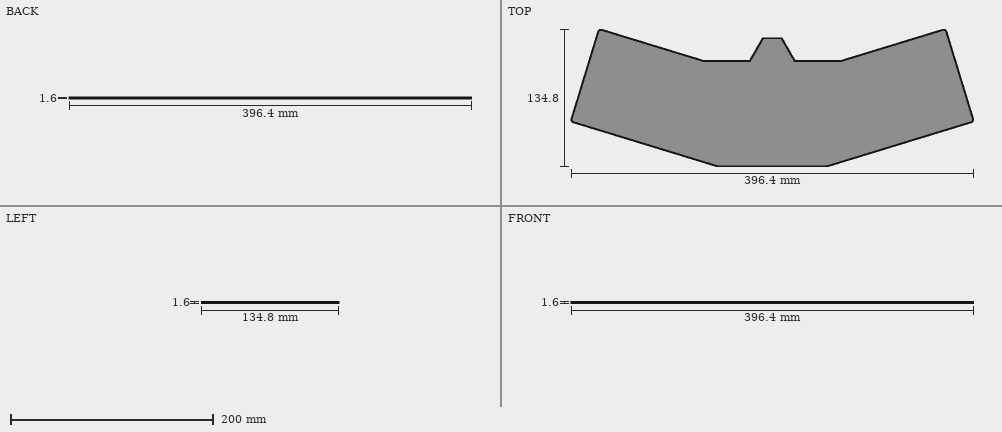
import cadquery as cq
import math

span = 396.37
depth = 134.81
thickness = 1.6

lower_edge_half = 54.4
upper_edge_y = 104.0

wing_angle = math.radians(17)
corner_radius = 3.0

tab_base_half = 22.2
tab_height = 22.5
tab_flank_angle = math.radians(60)
tab_top_half = tab_base_half - tab_height / math.tan(tab_flank_angle)

rise = math.sin(wing_angle)
run = math.cos(wing_angle)

lower_round_x = span / 2 - corner_radius
lower_edge_to_round = (lower_round_x - lower_edge_half + corner_radius * rise) / run
lower_round_y = lower_edge_to_round * rise + corner_radius * run
upper_round_y = depth - corner_radius
wing_length = lower_edge_to_round + corner_radius
wing_width = (upper_round_y - lower_round_y) / run + 2 * corner_radius

lower_corner = (lower_edge_half + wing_length * run, wing_length * rise)
upper_corner = (lower_corner[0] - wing_width * rise, lower_corner[1] + wing_width * run)
upper_bend_x = upper_corner[0] - (upper_corner[1] - upper_edge_y) / math.tan(wing_angle)


def make_plate():
    """Plate outline, mirrored about the YZ plane, extruded to thickness."""
    right_side = [
        (lower_edge_half, 0),
        lower_corner,
        upper_corner,
        (upper_bend_x, upper_edge_y),
        (tab_base_half, upper_edge_y),
        (tab_top_half, upper_edge_y + tab_height),
    ]
    left_side = [(-x, y) for x, y in reversed(right_side)]
    return cq.Workplane("XY").polyline(right_side + left_side).close().extrude(thickness)


def round_wing_corners(plate):
    """Round the two vertical edges at the end of each wing."""
    for x, y in (lower_corner, upper_corner):
        for side in (1, -1):
            corner = cq.selectors.NearestToPointSelector((side * x, y, thickness / 2))
            plate = plate.edges("|Z").edges(corner).fillet(corner_radius)
    return plate


result = round_wing_corners(make_plate())